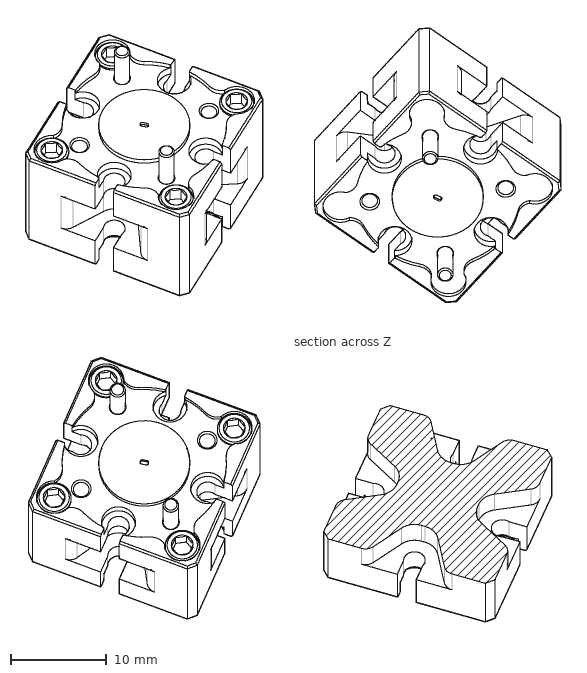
import cadquery as cq
import math

body_width = 19.05
body_height = 13.28
corner_chamfer = 0.8
edge_chamfer = 0.22
half_width = body_width / 2
half_height = body_height / 2

recess_depth = 0.55
recess_radius = 8.58
recess_blend_radius = 1.6
recess_blend_angle = 18.8
boss_diameter = 9.525

pitch_radius = 14.29 / 2
slot_width = 2.1
slot_end_diameter = 2.25
counterbore_diameter = 3.54
counterbore_depth = 1.55

pin_diameter = 1.6
pin_chamfer = 0.17
pin_root_depth = 1.6
overall_height = 21.08
pin_mouth_diameter = 1.76
dimple_top_diameter = 2.04
dimple_floor_diameter = 1.64
dimple_depth = (dimple_top_diameter - dimple_floor_diameter) / 2

aperture_length = 0.86
aperture_width = 0.5
aperture_corner_radius = 0.2
aperture_tilt = 10.0
aperture_depth = 0.31

screw_offset = 7.22
well_diameter = 3.7
head_diameter = 3.56
head_drop = 0.14
head_chamfer = 0.2
head_root_depth = 1.78
socket_across_flats = 1.98
socket_depth = 1.6
socket_turn = 30
socket_across_corners = socket_across_flats / math.cos(math.pi / 6)
socket_countersink = 0.15

pocket_height = 5.2
pocket_half_width = 5.02
pocket_lip_radius = 1.24
pocket_root_radius = 2.1
pocket_half_floor = 0.19
pocket_wall_angle = 60.0

QUARTER_TURNS = (0, 90, 180, 270)
DIAGONALS = (45, 135, 225, 315)
PIN_ANGLES = (135, 315)
DIMPLE_ANGLES = (45, 225)


def polar(radius, angle):
    """Point in XY at the given radius and angle in degrees."""
    return (radius * math.cos(math.radians(angle)), radius * math.sin(math.radians(angle)))


def turned(shape, angle):
    """Copy of a shape turned about Z by an angle in degrees."""
    return shape.rotate((0, 0, 0), (0, 0, 1), angle)


def flipped(shape):
    """Copy of a top-end feature turned over onto the bottom end."""
    return shape.rotate((0, 0, 0), (1, 0, 0), 180)


def disc(diameter, bottom, top, centres=((0, 0),)):
    """Round column from one Z level to another, repeated at each centre."""
    circles = cq.Workplane("XY").workplane(offset=bottom).pushPoints(centres).circle(diameter / 2)
    return circles.extrude(top - bottom)


def cone(bottom_diameter, top_diameter, bottom, top, centre):
    """Upright truncated cone between two Z levels."""
    base = cq.Vector(*centre, bottom)
    solid = cq.Solid.makeCone(bottom_diameter / 2, top_diameter / 2, top - bottom, base)
    return cq.Workplane(obj=solid)


recess_floor = half_height - recess_depth
well_centres = [(sx * screw_offset, sy * screw_offset) for sx in (-1, 1) for sy in (-1, 1)]
pin_centres = [polar(pitch_radius, angle) for angle in PIN_ANGLES]
dimple_centres = [polar(pitch_radius, angle) for angle in DIMPLE_ANGLES]


def make_body():
    """Block with chamfered upright corners and end-face edges."""
    block = cq.Workplane("XY").box(body_width, body_width, body_height)
    return block.edges("|Z").chamfer(corner_chamfer).faces("|Z").edges().chamfer(edge_chamfer)


def make_slot():
    """Open bolt slot running in from the +X side, through the full height."""
    length = half_width - pitch_radius
    straight = cq.Workplane("XY").box(length, slot_width, body_height, centered=(False, True, True))
    round_end = disc(slot_end_diameter, -half_height, half_height, [(pitch_radius, 0)])
    return straight.translate((pitch_radius, 0, 0)).union(round_end)


def make_recess():
    """Sunken floor: a disc that opens through rounded throats into the corner wells."""
    recess = disc(2 * recess_radius, recess_floor, half_height)
    blend_distance = recess_radius + recess_blend_radius
    for diagonal in DIAGONALS:
        blends = [polar(blend_distance, diagonal + side * recess_blend_angle) for side in (-1, 1)]
        well = polar(screw_offset * math.sqrt(2), diagonal)
        outline = cq.Workplane("XY").workplane(offset=recess_floor)
        outline = outline.polyline([(0, 0), blends[0], well, blends[1]]).close()
        throat = outline.extrude(recess_depth)
        recess = recess.union(throat.cut(disc(2 * recess_blend_radius, recess_floor, half_height, blends)))
    recess = recess.union(disc(well_diameter, recess_floor, half_height, well_centres))
    return recess.cut(disc(boss_diameter, recess_floor, half_height))


def make_aperture():
    """Small tilted opening with rounded corners, sunk into the central disc."""
    bar = cq.Workplane("XY").rect(aperture_length, aperture_width).extrude(aperture_depth)
    bar = bar.edges("|Z").fillet(aperture_corner_radius)
    return turned(bar, aperture_tilt).translate((0, 0, half_height - aperture_depth))


def make_end_cut():
    """Everything removed from the top end face."""
    cut = make_recess().union(make_aperture())
    counterbores = [polar(pitch_radius, angle) for angle in QUARTER_TURNS]
    cut = cut.union(disc(counterbore_diameter, half_height - counterbore_depth, half_height, counterbores))
    dimple_bottom = recess_floor - dimple_depth
    for centre in dimple_centres:
        dimple = cone(dimple_floor_diameter, dimple_top_diameter, dimple_bottom, recess_floor, centre)
        cut = cut.union(dimple)
    mouth_bottom = recess_floor - (pin_mouth_diameter - pin_diameter) / 2
    for centre in pin_centres:
        cut = cut.union(cone(pin_diameter, pin_mouth_diameter, mouth_bottom, recess_floor, centre))
    return cut


def make_pins():
    """Pair of alignment pins standing out of the top end."""
    root = recess_floor - pin_root_depth
    pins = disc(pin_diameter, root, overall_height / 2, pin_centres)
    return pins.faces(">Z").edges().chamfer(pin_chamfer)


def make_screw_head(centre):
    """Chamfered screw head and, separately, its countersunk hexagon socket."""
    top = half_height - head_drop
    root = recess_floor - head_root_depth
    head = disc(head_diameter, root, top).faces(">Z").edges().chamfer(head_chamfer)
    socket = cq.Workplane("XY").workplane(offset=top - socket_depth).polygon(6, socket_across_corners)
    socket = turned(socket.extrude(socket_depth), socket_turn)
    countersink = cone(
        socket_across_corners - 2 * socket_countersink, socket_across_corners,
        top - socket_countersink, top, (0, 0),
    )
    return head.translate((*centre, 0)), socket.union(countersink).translate((*centre, 0))


def arc_point(radius, angle):
    """Sideways and inward travel along an arc that starts parallel to the block's side."""
    return (radius * math.sin(angle), radius * (1 - math.cos(angle)))


def make_side_pocket():
    """Pocket opening on the -Y side: rounded lips, slanting walls and rounded roots."""
    side = -half_width
    turn = math.radians(pocket_wall_angle)
    lip_mid = arc_point(pocket_lip_radius, turn / 2)
    lip_end = arc_point(pocket_lip_radius, turn)
    root_mid = arc_point(pocket_root_radius, turn / 2)
    root_end = arc_point(pocket_root_radius, turn)
    wall_run = pocket_half_width - lip_end[0] - pocket_half_floor - root_end[0]
    floor = side + lip_end[1] + wall_run * math.tan(turn) + root_end[1]

    lip_middle = (pocket_half_width - lip_mid[0], side + lip_mid[1])
    wall_outer = (pocket_half_width - lip_end[0], side + lip_end[1])
    wall_inner = (pocket_half_floor + root_end[0], floor - root_end[1])
    root_middle = (pocket_half_floor + root_mid[0], floor - root_mid[1])
    half_outline = (
        cq.Workplane("XY").workplane(offset=-pocket_height / 2)
        .moveTo(0, side).lineTo(pocket_half_width, side)
        .threePointArc(lip_middle, wall_outer)
        .lineTo(*wall_inner)
        .threePointArc(root_middle, (pocket_half_floor, floor))
        .lineTo(0, floor).close()
    )
    half = half_outline.extrude(pocket_height)
    return half.union(half.mirror("YZ")).clean()


def make_part():
    """Body cut on its sides and both ends, then fitted with its pins and top screws."""
    part = make_body()
    for angle in QUARTER_TURNS:
        part = part.cut(turned(make_slot(), angle)).cut(turned(make_side_pocket(), angle))
    end_cut = make_end_cut()
    part = part.cut(end_cut).cut(flipped(end_cut))
    pins = make_pins()
    part = part.union(pins).union(flipped(pins))
    for centre in well_centres:
        head, socket = make_screw_head(centre)
        part = part.union(head).cut(socket)
    return part


result = make_part()